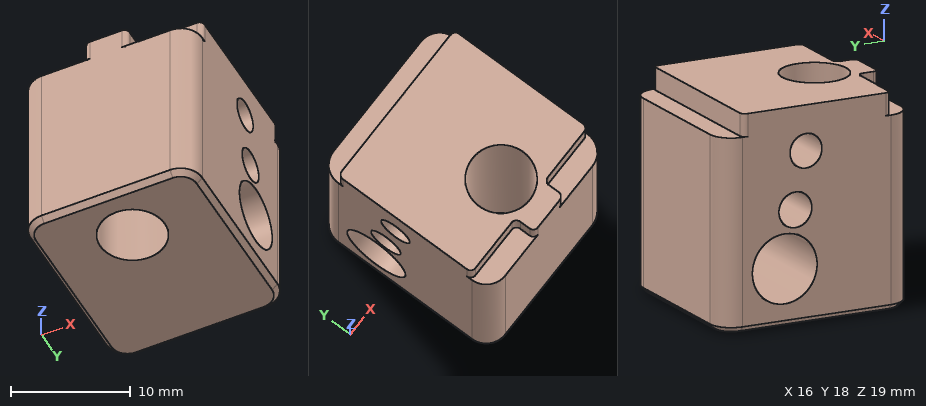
import cadquery as cq

WIDTH = 16.0
DEPTH = 18.0
HEIGHT = 19.0
CORNER_RADIUS = 2.0
BOTTOM_CHAMFER = 0.5

STEP_HEIGHT = 2.0
STEP_SETBACK = 2.0
TAB_WIDTH = 4.0
STEP_RADIUS = 0.5

VERTICAL_HOLE_DIAMETER = 6.0
VERTICAL_HOLE_Y = 5.0

CROSS_HOLES = [
    (6.1, 12.0, 5.0),
    (3.1, 11.0, 10.0),
    (3.0, 10.0, 15.0),
]

BODY_HEIGHT = HEIGHT - STEP_HEIGHT


def make_body():
    """Lower block with rounded upright corners and a chamfered underside."""
    return (
        cq.Workplane("XY")
        .rect(WIDTH, DEPTH)
        .extrude(BODY_HEIGHT)
        .translate((0, DEPTH / 2, 0))
        .edges("|Z")
        .fillet(CORNER_RADIUS)
        .faces("<Z")
        .edges()
        .chamfer(BOTTOM_CHAMFER)
    )


def make_raised_top():
    """T-shaped raised top with every upright edge rounded."""
    half_width = WIDTH / 2
    half_tab = TAB_WIDTH / 2
    rear = DEPTH - STEP_SETBACK
    outline = [
        (-half_width, rear),
        (-half_width, STEP_SETBACK),
        (-half_tab, STEP_SETBACK),
        (-half_tab, 0),
        (half_tab, 0),
        (half_tab, STEP_SETBACK),
        (half_width, STEP_SETBACK),
        (half_width, rear),
    ]
    return (
        cq.Workplane("XY", origin=(0, 0, BODY_HEIGHT))
        .polyline(outline)
        .close()
        .extrude(STEP_HEIGHT)
        .edges("|Z")
        .fillet(STEP_RADIUS)
    )


def make_vertical_hole():
    """Cutter for the hole from the top face to the underside."""
    return (
        cq.Workplane("XY")
        .center(0, VERTICAL_HOLE_Y)
        .circle(VERTICAL_HOLE_DIAMETER / 2)
        .extrude(HEIGHT)
    )


def make_cross_hole(diameter, y, z):
    """Cutter for a hole through the block along X."""
    return (
        cq.Workplane("YZ", origin=(-WIDTH / 2, 0, 0))
        .center(y, z)
        .circle(diameter / 2)
        .extrude(WIDTH)
    )


result = make_body().union(make_raised_top())
result = result.cut(make_vertical_hole())
for hole_diameter, hole_y, hole_z in CROSS_HOLES:
    result = result.cut(make_cross_hole(hole_diameter, hole_y, hole_z))